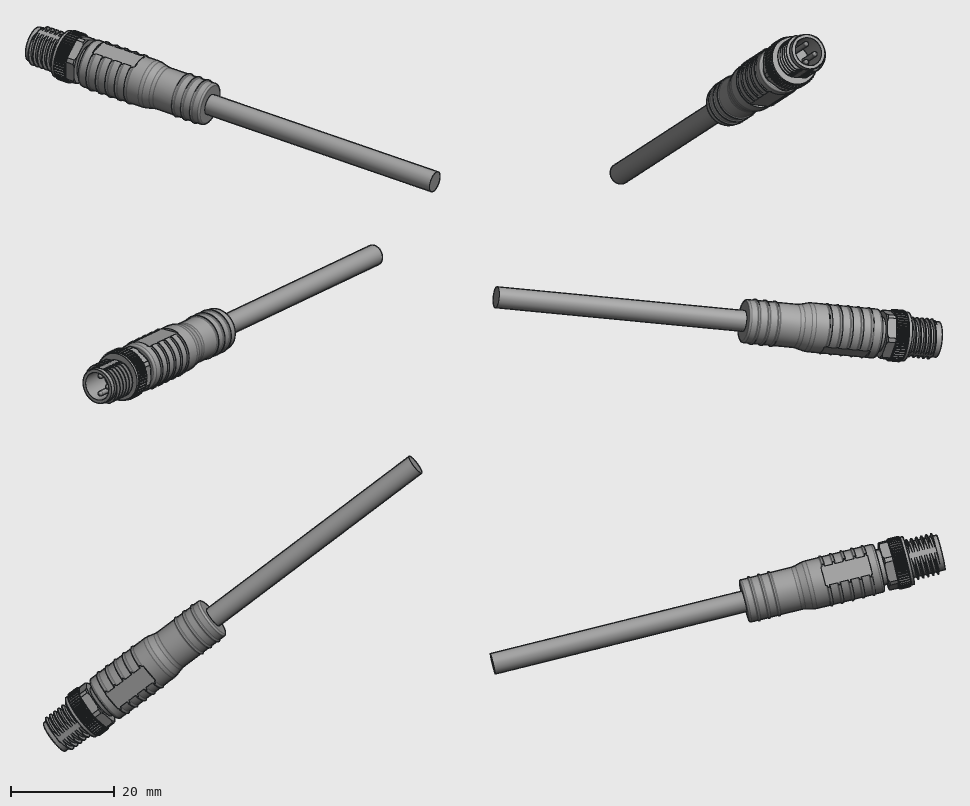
import cadquery as cq
import math

total_length = 89.1
nose_length = 6.45
nut_collar_end = 7.05
knurl_end = 9.6
nut_end = 11.4
body_start = 12.3
blend_start = 25.85
blend_cone_start = 26.65
blend_cone_end = 28.0
tail_start = 28.8
tail_end = 39.1

thread_radius = 4.0
thread_root_radius = 3.45
socket_radius = 2.78
nut_collar_radius = 4.75
knurl_radius = 4.988
neck_front_radius = 3.35
neck_back_radius = 3.6
body_radius = 4.75
tail_radius = 4.2
cable_radius = 2.05

thread_pitch = 1.0
thread_start = 0.9
thread_end = 6.1
helix_start = 0.0
helix_turns = 7
thread_base_width = 0.7
thread_crest_width = 0.15
thread_root_overlap = 0.15
thread_flat_height = 3.4
thread_flat_start = thread_start

socket_depth = 6.0
pin_radius = 0.5
pin_circle_radius = 1.8
pin_tip_depth = 0.6
pin_tip_fillet = 0.49
pin_angles = (90, 180, 270)

knurl_count = 48
knurl_depth = 0.3
knurl_land_share = 0.3
knurl_chamfer = 0.25
hex_across_flats = 8.72
hex_corner_radius = 4.8
hex_chamfer = 0.25

body_edge_fillet = 0.45
tail_edge_fillet = 0.4
grip_flat_start = 14.1
grip_flat_end = 23.4
grip_flat_height = 4.35
grip_bead_first = 14.5
grip_bead_pitch = 2.1
grip_bead_count = 5
tail_bead_first = 33.2
tail_bead_pitch = 2.0
tail_bead_count = 3
bead_width = 0.65
bead_height = 0.22
bead_lead = 0.1


def cylinder(start, end, radius):
    """Solid cylinder on the X axis between two X positions."""
    return cq.Workplane("YZ", origin=(start, 0, 0)).circle(radius).extrude(end - start)


def box_outside(start, end, height):
    """Pair of blocks that trim everything beyond +height and -height in Z."""
    size = 4 * knurl_radius
    block = cq.Workplane("XY").box(end - start, size, size)
    middle = (start + end) / 2
    upper = block.translate((middle, 0, height + size / 2))
    lower = block.translate((middle, 0, -height - size / 2))
    return upper.union(lower)


def make_thread_ridge():
    """Right-handed trapezoidal ridge, wound on Z and then laid along X."""
    inner = thread_root_radius - thread_root_overlap
    half_base = thread_base_width / 2
    half_crest = thread_crest_width / 2
    helix = cq.Wire.makeHelix(thread_pitch, thread_pitch * helix_turns, inner)
    ridge = (
        cq.Workplane("XZ")
        .moveTo(inner, -half_base)
        .lineTo(thread_radius, -half_crest)
        .lineTo(thread_radius, half_crest)
        .lineTo(inner, half_base)
        .close()
        .sweep(cq.Workplane(obj=helix), isFrenet=True)
    )
    ridge = ridge.rotate((0, 0, 0), (0, 0, 1), -90)
    ridge = ridge.rotate((0, 0, 0), (0, 1, 0), 90).translate((helix_start, 0, 0))
    return ridge.intersect(cylinder(thread_start, thread_end, 2 * thread_radius))


def make_nose():
    """Threaded nose with flats above and below."""
    core = cylinder(0, nose_length, thread_root_radius)
    threaded = core.union(make_thread_ridge())
    return threaded.cut(box_outside(thread_flat_start, nose_length, thread_flat_height))


def make_pin(angle):
    """Contact pin standing on the socket floor."""
    y = pin_circle_radius * math.cos(math.radians(angle))
    z = pin_circle_radius * math.sin(math.radians(angle))
    pin = cylinder(pin_tip_depth, nose_length, pin_radius).faces("<X").fillet(pin_tip_fillet)
    return pin.translate((0, y, z))


def make_nut():
    """Plain collar, knurled ring and hexagon with turned-down corners."""
    collar = cylinder(nose_length, nut_collar_end, nut_collar_radius)

    half_land = knurl_land_share / 2
    root_radius = knurl_radius - knurl_depth
    profile = []
    for tooth in range(knurl_count):
        tooth_points = (
            (-half_land, knurl_radius),
            (half_land, knurl_radius),
            (0.5 - half_land, root_radius),
            (0.5 + half_land, root_radius),
        )
        for share, radius in tooth_points:
            angle = 2 * math.pi * (tooth + share) / knurl_count
            profile.append((radius * math.cos(angle), radius * math.sin(angle)))
    knurl = (
        cq.Workplane("YZ", origin=(nut_collar_end, 0, 0))
        .polyline(profile)
        .close()
        .extrude(knurl_end - nut_collar_end)
    )

    knurl_limit = cylinder(nut_collar_end, knurl_end, knurl_radius).edges().chamfer(knurl_chamfer)
    knurl = knurl.intersect(knurl_limit)

    hexagon = (
        cq.Workplane("YZ", origin=(knurl_end, 0, 0))
        .polygon(6, hex_across_flats, circumscribed=True)
        .extrude(nut_end - knurl_end)
    )
    corner_limit = (
        cylinder(knurl_end, nut_end, hex_corner_radius)
        .faces(">X")
        .chamfer(hex_chamfer)
    )
    return collar.union(knurl).union(hexagon.intersect(corner_limit))


def make_bead(position, radius):
    """Rounded ring with flared feet, standing proud of a cylinder of the given radius."""
    half = bead_width / 2
    crest = radius + bead_height
    shoulder = radius + bead_height / 2
    return (
        cq.Workplane("XY")
        .moveTo(position - half - bead_lead, 0)
        .lineTo(position - half - bead_lead, radius)
        .lineTo(position - half, radius)
        .tangentArcPoint((position - half / 2, shoulder), relative=False)
        .threePointArc((position, crest), (position + half / 2, shoulder))
        .tangentArcPoint((position + half, radius), relative=False)
        .lineTo(position + half, 0)
        .close()
        .revolve(360, (0, 0, 0), (1, 0, 0))
    )


def make_neck():
    """Short flared neck between the nut and the body."""
    return (
        cq.Workplane("YZ", origin=(nut_end, 0, 0))
        .circle(neck_front_radius)
        .workplane(offset=body_start - nut_end)
        .circle(neck_back_radius)
        .loft(ruled=True)
    )


def make_body():
    """Moulded grip: beaded body, smooth blend and beaded tail."""
    blend_drop = body_radius - tail_radius
    arc_length = blend_cone_start - blend_start
    cone_length = blend_cone_end - blend_cone_start
    slope = blend_drop / (cone_length + arc_length)
    cone_start_radius = body_radius - slope * arc_length / 2
    cone_end_radius = cone_start_radius - slope * cone_length
    body = (
        cq.Workplane("XY")
        .moveTo(body_start, 0)
        .lineTo(body_start, body_radius)
        .lineTo(blend_start, body_radius)
        .tangentArcPoint((blend_cone_start, cone_start_radius), relative=False)
        .lineTo(blend_cone_end, cone_end_radius)
        .tangentArcPoint((tail_start, tail_radius), relative=False)
        .lineTo(tail_end, tail_radius)
        .lineTo(tail_end, 0)
        .close()
        .revolve(360, (0, 0, 0), (1, 0, 0))
    )
    body = body.faces("<X").edges().fillet(body_edge_fillet)
    body = body.faces(">X").edges().fillet(tail_edge_fillet)
    for index in range(grip_bead_count):
        body = body.union(make_bead(grip_bead_first + index * grip_bead_pitch, body_radius))
    for index in range(tail_bead_count):
        body = body.union(make_bead(tail_bead_first + index * tail_bead_pitch, tail_radius))
    return body.cut(box_outside(grip_flat_start, grip_flat_end, grip_flat_height))


def make_plug():
    """Complete connector with its neck, socket, pins and cable."""
    plug = make_nose().union(make_nut())
    plug = plug.union(make_neck())
    plug = plug.union(make_body())
    plug = plug.union(cylinder(tail_end, total_length, cable_radius))
    plug = plug.cut(cylinder(0, socket_depth, socket_radius))
    for angle in pin_angles:
        plug = plug.union(make_pin(angle))
    return plug


result = make_plug()